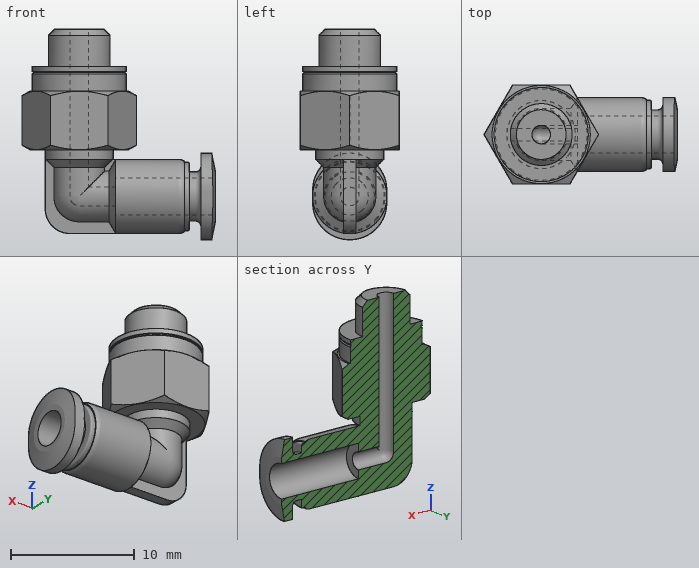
import cadquery as cq
import math


collar_half_height = 3.5
collar_half_width = 6.0 / 2
collar_start = 9.81
collar_edge = 10.7
collar_end = 11.0
collar_face_radius = 4.0 / 2

overall_height = 17
stem_top = overall_height - collar_half_height
thread_radius = 2.5
thread_chamfer = 0.5

flange_radius = 7.6 / 2
flange_top = 10.5
flange_bottom = 10.1
groove_bottom = 10.0
boss_chamfer = 0.1

hex_across_flats = 8.0
hex_top = 8.52
hex_bottom = 3.75
hex_chamfer_radius = 3.96
hex_blank_margin = 0.17
hex_chamfer_angle = math.radians(30)

pipe_radius = 2.1
neck_radius = 2.75
neck_cone_height = neck_radius - pipe_radius
web_thickness = 1.0
web_corner_radius = 2.0

arm_radius = 6.0 / 2
neck_bottom = arm_radius
arm_cone_start = 2.4
arm_start = 2.92
arm_shoulder = 8.04
arm_end = 8.48
shoulder_drop = 0.15
ring_radius = 2.77
ring_end = 8.89
ring_fillet = 0.14
sleeve_radius = 4.0 / 2
sleeve_fillet = 0.4

bore_radius = 0.75
tube_radius = 1.5
tube_socket_start = arm_start


def cylinder_z(radius, bottom, top):
    return cq.Workplane("XY").workplane(offset=bottom).circle(radius).extrude(top - bottom)


def cylinder_x(radius, start, end):
    return cq.Workplane("YZ").workplane(offset=start).circle(radius).extrude(end - start)


def round_elbow(radius, top, end):
    """Vertical and horizontal cylinders joined by a sphere at the corner."""
    upright = cylinder_z(radius, 0, top)
    across = cylinder_x(radius, 0, end)
    return upright.union(across).union(cq.Workplane("XY").sphere(radius))


def make_threaded_end():
    thread = cylinder_z(thread_radius, flange_bottom, stem_top).faces(">Z").chamfer(thread_chamfer)
    gasket = cylinder_z(flange_radius, flange_bottom, flange_top)
    groove = cylinder_z(flange_radius - boss_chamfer, groove_bottom, flange_bottom)
    boss = cylinder_z(flange_radius, hex_top, groove_bottom).faces(">Z").chamfer(boss_chamfer)
    return thread.union(gasket).union(groove).union(boss)


def make_hexagon():
    corner_radius = hex_across_flats / math.sqrt(3)
    prism = (
        cq.Workplane("XY").workplane(offset=hex_bottom)
        .polygon(6, 2 * corner_radius).extrude(hex_top - hex_bottom)
    )
    blank_radius = corner_radius + hex_blank_margin
    cone_height = (blank_radius - hex_chamfer_radius) * math.tan(hex_chamfer_angle)
    blank = (
        cq.Workplane("XZ")
        .moveTo(0, hex_bottom)
        .lineTo(hex_chamfer_radius, hex_bottom)
        .lineTo(blank_radius, hex_bottom + cone_height)
        .lineTo(blank_radius, hex_top - cone_height)
        .lineTo(hex_chamfer_radius, hex_top)
        .lineTo(0, hex_top)
        .close()
        .revolve(360, (0, 0, 0), (0, 1, 0))
    )
    return prism.intersect(blank)


def make_neck():
    cone_bottom = neck_bottom - neck_cone_height
    return (
        cq.Workplane("XZ")
        .moveTo(0, cone_bottom)
        .lineTo(pipe_radius, cone_bottom)
        .lineTo(neck_radius, neck_bottom)
        .lineTo(neck_radius, hex_bottom)
        .lineTo(0, hex_bottom)
        .close()
        .revolve(360, (0, 0, 0), (0, 1, 0))
    )


def make_web():
    """Flat web in the plane of both axes, rounded at the outer corner."""
    web = cq.Workplane("XY").box(
        neck_radius + arm_start, web_thickness, arm_radius + neck_bottom, centered=(False, True, False)
    )
    return web.translate((-neck_radius, 0, -arm_radius)).edges("<X and <Z").fillet(web_corner_radius)


def make_arm():
    """Turned arm: cone, body with rounded shoulder, end ring and sleeve."""
    shoulder_length = arm_end - arm_shoulder
    shoulder_radius = (shoulder_length**2 + shoulder_drop**2) / (2 * shoulder_drop)
    middle = shoulder_length / 2
    middle_drop = shoulder_radius - math.sqrt(shoulder_radius**2 - middle**2)
    body = (
        cq.Workplane("XZ")
        .moveTo(arm_cone_start, 0)
        .lineTo(arm_cone_start, pipe_radius)
        .lineTo(arm_start, arm_radius)
        .lineTo(arm_shoulder, arm_radius)
        .threePointArc(
            (arm_shoulder + middle, arm_radius - middle_drop),
            (arm_end, arm_radius - shoulder_drop),
        )
        .lineTo(arm_end, 0)
        .close()
        .revolve(360, (0, 0, 0), (1, 0, 0))
    )
    ring = cylinder_x(ring_radius, arm_end, ring_end).faces(">X").edges().fillet(ring_fillet)
    flare_start = collar_start - sleeve_fillet
    sleeve = (
        cq.Workplane("XZ")
        .moveTo(ring_end, 0)
        .lineTo(ring_end, sleeve_radius)
        .lineTo(flare_start, sleeve_radius)
        .radiusArc((collar_start, sleeve_radius + sleeve_fillet), -sleeve_fillet)
        .lineTo(collar_start, 0)
        .close()
        .revolve(360, (0, 0, 0), (1, 0, 0))
    )
    return body.union(ring).union(sleeve)


def make_collar():
    """Oblong collar with straight sides and a conical outer face."""
    oblong = (
        cq.Workplane("YZ").workplane(offset=collar_start)
        .slot2D(2 * collar_half_height, 2 * collar_half_width, 90)
        .extrude(collar_end - collar_start)
    )
    turned = (
        cq.Workplane("XZ")
        .moveTo(collar_start, 0)
        .lineTo(collar_start, collar_half_height)
        .lineTo(collar_edge, collar_half_height)
        .lineTo(collar_end, collar_face_radius)
        .lineTo(collar_end, 0)
        .close()
        .revolve(360, (0, 0, 0), (1, 0, 0))
    )
    return oblong.intersect(turned)


elbow = round_elbow(pipe_radius, neck_bottom, arm_start)
passage = round_elbow(bore_radius, stem_top, collar_end)
tube_socket = cylinder_x(tube_radius, tube_socket_start, collar_end)

result = (
    make_threaded_end()
    .union(make_hexagon())
    .union(make_neck())
    .union(elbow)
    .union(make_web())
    .union(make_arm())
    .union(make_collar())
    .cut(passage)
    .cut(tube_socket)
)